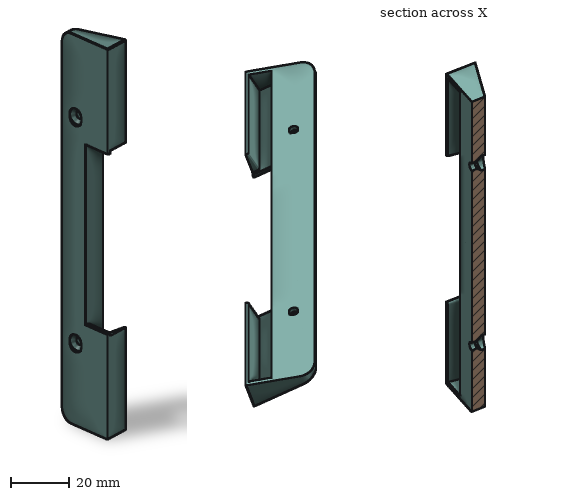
import cadquery as cq
import math

width = 24.42
height = 142.4
depth = 11.57
slope = math.radians(20)
edge_depth = depth - width * math.tan(slope)
corner_radius = 5.0

face_chamfer = 0.2
end_chamfer = 0.35

plate = 1.6
plate_in_y = plate / math.cos(slope)
end_wall = 1.6
side_wall_at_back = 1.2
side_lean = math.radians(10)
side_back_x = width - side_wall_at_back

notch_height = 65.4
notch_x = 12.6
notch_depth = edge_depth + notch_x * math.tan(slope)
flank_back_x = notch_x + notch_depth * math.tan(slope)

ledge_drop = 1.0
ledge_round = 0.7

hole_spacing = 82.4
hole_x = 7.4
hole_diameter = 3.2
head_diameter = 6.4
seat_depth = 1.6
countersink_depth = (head_diameter - hole_diameter) / 2

margin = 0.05


def front_y(x):
    """Y of the sloped front face at x."""
    return -edge_depth - x * math.tan(slope)


def plate_meeting_point(back_x, lean):
    """Where a wall leaning from (back_x, 0) reaches the inner face of the sloped plate."""
    y = (front_y(back_x) + plate_in_y) / (1 + math.tan(slope) * math.tan(lean))
    return back_x + y * math.tan(lean), y


def prism(points, z_size):
    """XY outline extruded evenly about Z = 0."""
    return cq.Workplane("XY").polyline(points).close().extrude(z_size / 2, both=True)


def wedge():
    outline = [(0, 0), (width, 0), (width, -depth), (0, -edge_depth)]
    return prism(outline, height).edges("|Y and <X").fillet(corner_radius)


def cavity():
    """Hollow behind the plate, between the solid shallow side and the deep side wall."""
    outline = [
        (flank_back_x, 0),
        (side_back_x, 0),
        plate_meeting_point(side_back_x, side_lean),
        plate_meeting_point(flank_back_x, slope),
    ]
    return prism(outline, height - 2 * end_wall)


def notch():
    outline = [
        (flank_back_x, 0),
        (width, 0),
        (width, -depth),
        (notch_x, front_y(notch_x)),
    ]
    return prism(outline, notch_height)


def side_gap():
    """Taller gap through the side wall behind the plate."""
    outline = [
        (side_back_x, 0),
        (width, 0),
        (width, front_y(width) + plate_in_y),
        plate_meeting_point(side_back_x, side_lean),
    ]
    return prism(outline, notch_height + 2 * ledge_drop)


def round_ledges(body):
    """Round the inner edge of the side wall at each end of the gap."""
    edge_direction = cq.Vector(math.sin(side_lean), math.cos(side_lean), 0)
    inner_x, inner_y = plate_meeting_point(side_back_x, side_lean)
    for side in (-1, 1):
        ledge_z = side * (notch_height / 2 + ledge_drop)
        near_ledge = cq.selectors.BoxSelector(
            (inner_x - margin, inner_y - margin, ledge_z - margin),
            (side_back_x + margin, margin, ledge_z + margin),
        )
        leaning = cq.selectors.ParallelDirSelector(edge_direction)
        body = body.edges(leaning).edges(near_ledge).fillet(ledge_round)
    return body


def chamfer_front(body):
    """Chamfer the rim of the sloped face, except along the deep side."""
    normal = cq.Vector(-math.sin(slope), -math.cos(slope), 0)
    away_from_side = cq.selectors.BoxSelector(
        (-margin, -depth, -height), (width - margin, margin, height)
    )
    front_face = body.faces(cq.selectors.DirectionNthSelector(normal, -1))
    return front_face.edges(away_from_side).chamfer(face_chamfer)


def chamfer_ends(body):
    """Chamfer the deep side where it meets the top and bottom."""
    for end in ("<Z", ">Z"):
        body = body.faces(end).edges(">X").chamfer(end_chamfer)
    return body


def screw_hole(z):
    seat_y = front_y(hole_x) + seat_depth
    half_profile = [
        (0, 0),
        (hole_diameter / 2, 0),
        (hole_diameter / 2, seat_y + countersink_depth),
        (head_diameter / 2, seat_y),
        (head_diameter / 2, -depth),
        (0, -depth),
    ]
    tool = cq.Workplane("XY").polyline(half_profile).close().revolve(360, (0, 0), (0, 1))
    return tool.translate((hole_x, 0, z))


body = wedge().cut(cavity()).cut(notch()).cut(side_gap())
body = round_ledges(body)
body = chamfer_front(body)
body = chamfer_ends(body)
for hole_z in (-hole_spacing / 2, hole_spacing / 2):
    body = body.cut(screw_hole(hole_z))

result = body